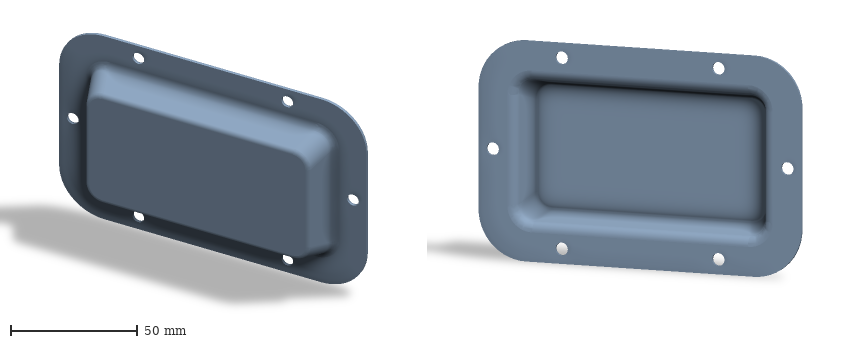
import cadquery as cq
import math

length = 136.0
height = 89.0
depth = 15.0
sheet = 1.2
flange_corner_radius = 20.0

dish_end_margin = 14.3
dish_side_margin = 14.0
draft_angle = 18.0
dish_corner_radius = 8.0
floor_radius = 2.0
rim_radius = 3.0

hole_diameter = 5.2
hole_margin = 6.0
hole_spacing = 66.0

dish_length = length - 2 * dish_end_margin
dish_height = height - 2 * dish_side_margin
draft = math.radians(draft_angle)


def front_plane(y):
    """Sketch plane at the given Y, facing the dish side (-Y)."""
    return cq.Workplane("XZ", origin=(0, y, 0))


def drafted_block(size_x, size_z, start_y, end_y, corner_radius, end_radius):
    """Tapered block narrowing toward -Y, with rounded corners and end face."""
    block = front_plane(start_y).rect(size_x, size_z).extrude(start_y - end_y, taper=draft_angle)
    block = block.edges("not #Y").fillet(corner_radius)
    return block.faces("<Y").edges().fillet(end_radius)


flange = front_plane(0).rect(length, height).extrude(sheet).edges("|Y").fillet(flange_corner_radius)

dish = drafted_block(dish_length, dish_height, -sheet, -depth, dish_corner_radius, floor_radius)
body = flange.union(dish)
rim = body.faces("|Y").faces(">Y[-2]").val().innerWires()[0].Edges()
body = body.newObject(rim).fillet(rim_radius)

wall_inset = sheet / math.cos(draft) - sheet * math.tan(draft)
cavity = drafted_block(
    dish_length - 2 * wall_inset,
    dish_height - 2 * wall_inset,
    0,
    sheet - depth,
    dish_corner_radius - sheet,
    floor_radius - sheet,
)
body = body.cut(cavity)
mouth = body.faces(">Y").val().innerWires()[0].Edges()
body = body.newObject(mouth).fillet(rim_radius + sheet)

hole_x = length / 2 - hole_margin
hole_z = height / 2 - hole_margin
hole_centers = [(-hole_x, 0), (hole_x, 0)]
for x in (-hole_spacing / 2, hole_spacing / 2):
    for z in (-hole_z, hole_z):
        hole_centers.append((x, z))
holes = front_plane(0).pushPoints(hole_centers).circle(hole_diameter / 2).extrude(sheet)

result = body.cut(holes)